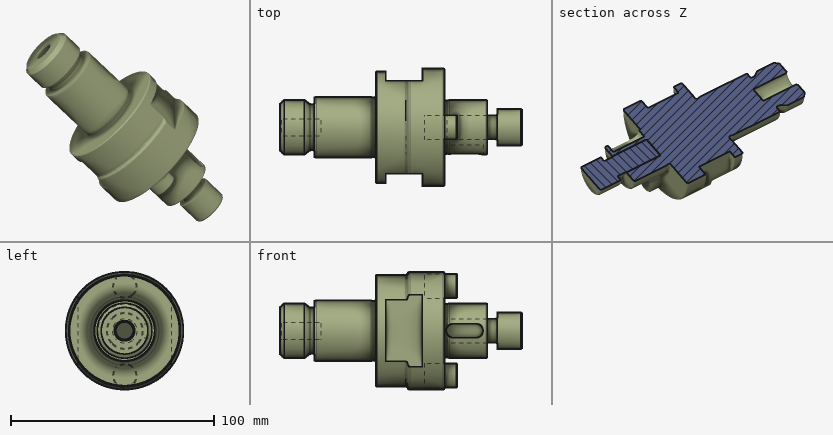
import cadquery as cq
import math


THREAD_END = 12.0
NECK_START = 14.6
SHANK_START = 16.9
FLANGE_START = 47.0
STEP_CENTRE = 62.8
FLANGE_END = 80.9
ARBOR_END = 102.0
SCREW_HEAD_START = 106.9
TOTAL_LENGTH = 119.0

ARBOR_DIAMETER = 27.0
FLANGE_LARGE_DIAMETER = 58.0
THREAD_RADIUS = ARBOR_DIAMETER / 2
NECK_RADIUS = 11.4
SHANK_RADIUS = 15.0
FLANGE_SMALL_RADIUS = 27.5
FLANGE_LARGE_RADIUS = FLANGE_LARGE_DIAMETER / 2
ARBOR_RADIUS = ARBOR_DIAMETER / 2

THREAD_CHAMFER = 2.0
CONE_FILLET = 1.0
NECK_FILLET = 0.5
FLANGE_CHAMFER = 0.5
TAPER_LENGTH = 1.0
TAPER_DEPTH = 0.2
EDGE_ROUND = 0.8
STEP_LENGTH = 2.1

RELIEF_LENGTH = 2.4
RELIEF_SLOPE_LENGTH = 1.1
RELIEF_DEPTH = 0.3
RELIEF_ARC_RADIUS = 0.8
RELIEF_FACE_DEPTH = 0.1
RELIEF_FACE_HEIGHT = 1.8

BORE_RADIUS = 4.3
BORE_DEPTH = 20.0
BORE_CHAMFER = 0.7

FLAT_START = 52.0
FLAT_END = 70.0
FLAT_DISTANCE = 23.0

KEYWAY_START = 81.8
KEYWAY_END = 99.8
KEYWAY_WIDTH = 6.9
KEYWAY_DEPTH = 5.0

PIN_RADIUS = 6.0
PIN_OFFSET = 22.0
PIN_HEIGHTS = (-PIN_OFFSET, PIN_OFFSET)
PIN_PROJECTION = 6.3
PIN_INSERTION = 10.0
PIN_CHAMFER = 0.5

SCREW_DIAMETER = 12.0
SCREW_RADIUS = SCREW_DIAMETER / 2
SCREW_INSERTION = 20.0
SCREW_HEAD_RADIUS = 9.0
SCREW_HEAD_CHAMFER_LENGTH = 0.7
SCREW_HEAD_CHAMFER_HEIGHT = 0.5
SCREW_NECK_FILLET = 0.6


def x_cylinder(start, end, radius, z=0):
    """Cylinder lying along X between two positions."""
    return cq.Workplane("YZ", origin=(start, 0, z)).circle(radius).extrude(end - start)


def circular_corner(x, radius):
    """Selector for the circular edge of this radius at position x."""
    margin = 0.1
    reach = radius + margin
    low = (x - margin, -reach, -reach)
    high = (x + margin, reach, reach)
    return cq.selectors.BoxSelector(low, high, boundingbox=True)


def relief_points(face, direction, radius):
    """Points of a relief groove, from the cylinder of this radius out to the flange face.

    direction is +1 when the flange lies on the +X side of the cylinder, -1 otherwise.
    """
    floor = radius - RELIEF_DEPTH
    wall = face + direction * RELIEF_FACE_DEPTH
    slope_start = face - direction * RELIEF_LENGTH
    slope_end = slope_start + direction * RELIEF_SLOPE_LENGTH
    arc_start = wall - direction * RELIEF_ARC_RADIUS
    arc_offset = RELIEF_ARC_RADIUS * math.sqrt(0.5)
    return {
        "slope_start": (slope_start, radius),
        "slope_end": (slope_end, floor),
        "arc_start": (arc_start, floor),
        "arc_middle": (arc_start + direction * arc_offset, floor + RELIEF_ARC_RADIUS - arc_offset),
        "arc_end": (wall, floor + RELIEF_ARC_RADIUS),
        "face_edge": (face, radius + RELIEF_FACE_HEIGHT),
    }


def turned_blank():
    """Revolved outline of thread, neck, shank, flange and arbor."""
    rear = relief_points(FLANGE_START, 1, SHANK_RADIUS)
    front = relief_points(FLANGE_END, -1, ARBOR_RADIUS)
    step_start = STEP_CENTRE - STEP_LENGTH / 2
    step_end = STEP_CENTRE + STEP_LENGTH / 2
    step_middle_radius = (FLANGE_SMALL_RADIUS + FLANGE_LARGE_RADIUS) / 2

    outline = (
        cq.Workplane("XY")
        .moveTo(0, 0)
        .lineTo(0, THREAD_RADIUS - THREAD_CHAMFER)
        .lineTo(THREAD_CHAMFER, THREAD_RADIUS)
        .lineTo(THREAD_END, THREAD_RADIUS)
        .lineTo(NECK_START, NECK_RADIUS)
        .lineTo(SHANK_START, NECK_RADIUS)
        .lineTo(SHANK_START, SHANK_RADIUS - TAPER_DEPTH)
        .lineTo(SHANK_START + TAPER_LENGTH, SHANK_RADIUS)
        .lineTo(*rear["slope_start"])
        .lineTo(*rear["slope_end"])
        .lineTo(*rear["arc_start"])
        .threePointArc(rear["arc_middle"], rear["arc_end"])
        .lineTo(*rear["face_edge"])
        .lineTo(FLANGE_START, FLANGE_SMALL_RADIUS - FLANGE_CHAMFER)
        .lineTo(FLANGE_START + FLANGE_CHAMFER, FLANGE_SMALL_RADIUS)
        .lineTo(step_start, FLANGE_SMALL_RADIUS)
        .tangentArcPoint((STEP_CENTRE, step_middle_radius), relative=False)
        .tangentArcPoint((step_end, FLANGE_LARGE_RADIUS), relative=False)
        .lineTo(FLANGE_END - EDGE_ROUND, FLANGE_LARGE_RADIUS)
        .tangentArcPoint((FLANGE_END, FLANGE_LARGE_RADIUS - EDGE_ROUND), relative=False)
        .lineTo(*front["face_edge"])
        .lineTo(*front["arc_end"])
        .threePointArc(front["arc_middle"], front["arc_start"])
        .lineTo(*front["slope_end"])
        .lineTo(*front["slope_start"])
        .lineTo(ARBOR_END - EDGE_ROUND, ARBOR_RADIUS)
        .tangentArcPoint((ARBOR_END, ARBOR_RADIUS - EDGE_ROUND), relative=False)
        .lineTo(ARBOR_END, 0)
        .close()
    )
    blank = outline.revolve(360, (0, 0, 0), (1, 0, 0))
    blank = blank.edges(circular_corner(NECK_START, NECK_RADIUS)).fillet(CONE_FILLET)
    return blank.edges(circular_corner(SHANK_START, NECK_RADIUS)).fillet(NECK_FILLET)


def rear_bore():
    """Blind bore with a countersunk mouth."""
    mouth = (
        cq.Workplane("YZ")
        .circle(BORE_RADIUS + BORE_CHAMFER)
        .workplane(offset=BORE_CHAMFER)
        .circle(BORE_RADIUS)
        .loft()
    )
    return x_cylinder(0, BORE_DEPTH, BORE_RADIUS).union(mouth)


def flat_cutters():
    """Two blocks that leave parallel wrench flats on the -Y and +Y sides of the flange."""
    length = FLAT_END - FLAT_START
    height = FLANGE_LARGE_DIAMETER
    depth = FLANGE_LARGE_RADIUS
    block = cq.Workplane("XY").box(length, depth, height)
    centre_x = (FLAT_START + FLAT_END) / 2
    centre_y = FLAT_DISTANCE + depth / 2
    return [block.translate((centre_x, side * centre_y, 0)) for side in (-1, 1)]


def keyway():
    """Round-ended slot sunk into the -Y side of the arbor."""
    floor = ARBOR_RADIUS - KEYWAY_DEPTH
    return (
        cq.Workplane("XZ", origin=((KEYWAY_START + KEYWAY_END) / 2, -floor, 0))
        .slot2D(KEYWAY_END - KEYWAY_START, KEYWAY_WIDTH)
        .extrude(ARBOR_RADIUS)
    )


def make_body():
    body = turned_blank().cut(rear_bore()).cut(keyway())
    for cutter in flat_cutters():
        body = body.cut(cutter)
    for z in PIN_HEIGHTS:
        body = body.cut(x_cylinder(FLANGE_END - PIN_INSERTION, FLANGE_END, PIN_RADIUS, z))
    return body.cut(x_cylinder(ARBOR_END - SCREW_INSERTION, ARBOR_END, SCREW_RADIUS))


def make_drive_pin(z):
    pin = x_cylinder(FLANGE_END - PIN_INSERTION, FLANGE_END + PIN_PROJECTION, PIN_RADIUS, z)
    return pin.faces(">X").chamfer(PIN_CHAMFER)


def make_clamping_screw():
    head_outline = (
        cq.Workplane("XY")
        .moveTo(SCREW_HEAD_START, 0)
        .lineTo(SCREW_HEAD_START, SCREW_HEAD_RADIUS)
        .lineTo(TOTAL_LENGTH - SCREW_HEAD_CHAMFER_LENGTH, SCREW_HEAD_RADIUS)
        .lineTo(TOTAL_LENGTH, SCREW_HEAD_RADIUS - SCREW_HEAD_CHAMFER_HEIGHT)
        .lineTo(TOTAL_LENGTH, 0)
        .close()
    )
    head = head_outline.revolve(360, (0, 0, 0), (1, 0, 0))
    stem = x_cylinder(ARBOR_END - SCREW_INSERTION, SCREW_HEAD_START, SCREW_RADIUS)
    return head.union(stem).edges(circular_corner(SCREW_HEAD_START, SCREW_RADIUS)).fillet(SCREW_NECK_FILLET)


body = make_body()
drive_pins = [make_drive_pin(z) for z in PIN_HEIGHTS]
clamping_screw = make_clamping_screw()

result = cq.Compound.makeCompound(
    [body.val(), *[pin.val() for pin in drive_pins], clamping_screw.val()]
)